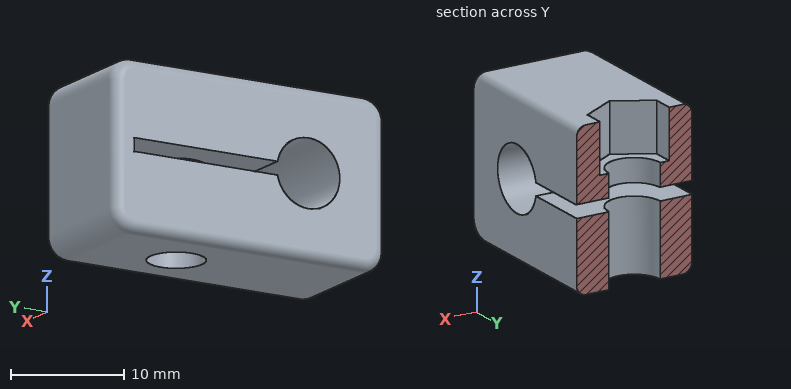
import cadquery as cq
import math

width = 12.0
length = 28.0
height = 16.0
corner_radius = 2.0
edge_radius = 1.0

bore_diameter = 6.5
bore_y = -6.0
slot_width = 1.25
slot_end_y = length / 2 - corner_radius

screw_diameter = 5.3
screw_y = 4.0
nut_across_flats = 7.17
nut_depth = 5.0
nut_across_corners = nut_across_flats / math.cos(math.pi / 6)


def rounded_block():
    """Block with large corner rounds along X and smaller rounds around both X faces."""
    block = cq.Workplane("XY").box(width, length, height)
    block = block.edges("|X").fillet(corner_radius)
    return block.faces("<X or >X").edges().fillet(edge_radius)


def clamp_opening():
    """Bore through the width, joined to a slot that stops short of the +Y end."""
    bore = (
        cq.Workplane("YZ")
        .center(bore_y, 0)
        .circle(bore_diameter / 2)
        .extrude(width / 2, both=True)
    )
    slot_length = slot_end_y - bore_y
    slot = cq.Workplane("XY").box(width, slot_length, slot_width)
    return bore.union(slot.translate((0, bore_y + slot_length / 2, 0)))


def screw_opening():
    """Through hole with a nut pocket in the top face, hexagon corners pointing along Y."""
    hole = (
        cq.Workplane("XY")
        .center(0, screw_y)
        .circle(screw_diameter / 2)
        .extrude(height / 2, both=True)
    )
    pocket = (
        cq.Workplane("XY")
        .polygon(6, nut_across_corners)
        .extrude(nut_depth)
        .rotate((0, 0, 0), (0, 0, 1), 90)
        .translate((0, screw_y, height / 2 - nut_depth))
    )
    return hole.union(pocket)


result = rounded_block().cut(clamp_opening()).cut(screw_opening())